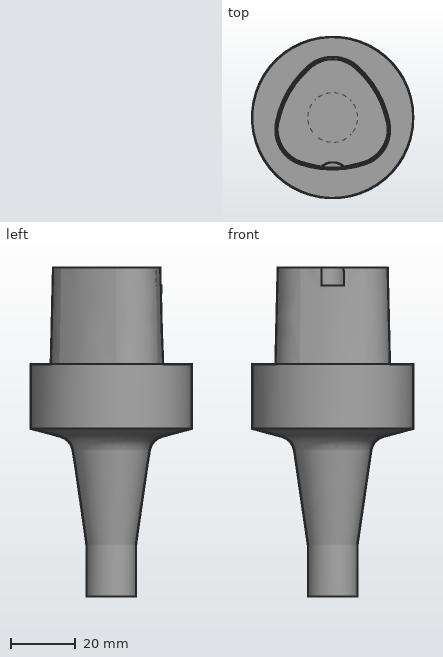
import cadquery as cq
import math

total_height = 102.0
shank_height = 30.0
flange_thickness = 20.0
tip_height = 16.1
flange_top = total_height - shank_height
flange_bottom = flange_top - flange_thickness

flange_radius = 50.0 / 2
tip_radius = 15.4 / 2
neck_radius = 12.4
flange_cone_angle = 15.0
neck_fillet = 5.0

lobe_reach = 18.8
flat_reach = 16.1
flat_radius = 31.4
shank_inset = 0.7
lobe_count = 3
lobe_step = 360.0 / lobe_count
first_lobe_angle = 90.0

notch_radius = 5.0
notch_depth = 5.6
notch_inner_y = -13.9


def polar(radius, angle):
    return cq.Vector(
        radius * math.cos(math.radians(angle)),
        radius * math.sin(math.radians(angle)),
    )


def make_body():
    """Flange, conical underside, tapered neck and straight tip."""
    cone_drop = (flange_radius - neck_radius) * math.tan(math.radians(flange_cone_angle))
    neck_top = flange_bottom - cone_drop
    profile = [
        (0, 0),
        (tip_radius, 0),
        (tip_radius, tip_height),
        (neck_radius, neck_top),
        (flange_radius, flange_bottom),
        (flange_radius, flange_top),
        (0, flange_top),
    ]
    body = cq.Workplane("XZ").polyline(profile).close().revolve(360, (0, 0, 0), (0, 1, 0))
    margin = 0.1
    neck_corner = cq.selectors.BoxSelector(
        (-flange_radius, -flange_radius, neck_top - margin),
        (flange_radius, flange_radius, neck_top + margin),
        boundingbox=False,
    )
    return body.edges(neck_corner).fillet(neck_fillet)


def lobed_wire(inset, z):
    """Closed outline of six tangent arcs: a lobe and a flat side in turn."""
    flat_center = flat_radius - flat_reach
    reach_gap = lobe_reach - flat_reach
    lobe_center = reach_gap * (2 * flat_center - reach_gap) / (flat_center - 2 * reach_gap)
    lobe_radius = lobe_reach - lobe_center

    def tangent_point(lobe_angle, flat_angle):
        center = polar(lobe_center, lobe_angle)
        normal = (center - polar(-flat_center, flat_angle)).normalized()
        return center + normal * (lobe_radius - inset)

    edges = []
    lift = cq.Vector(0, 0, z)
    for index in range(lobe_count):
        lobe = first_lobe_angle + index * lobe_step
        flat = lobe + lobe_step / 2
        start = tangent_point(lobe, lobe - lobe_step / 2) + lift
        middle = tangent_point(lobe, flat) + lift
        end = tangent_point(lobe + lobe_step, flat) + lift
        crest = polar(lobe_reach - inset, lobe) + lift
        flat_middle = polar(flat_reach - inset, flat) + lift
        edges.append(cq.Edge.makeThreePointArc(start, crest, middle))
        edges.append(cq.Edge.makeThreePointArc(middle, flat_middle, end))
    return cq.Wire.assembleEdges(edges)


def make_shank():
    base = lobed_wire(0, flange_top)
    top = lobed_wire(shank_inset, total_height)
    return cq.Workplane(cq.Solid.makeLoft([base, top], True))


def make_notch():
    return (
        cq.Workplane("XY", origin=(0, notch_inner_y - notch_radius, total_height))
        .circle(notch_radius)
        .extrude(-notch_depth)
    )


result = make_body().union(make_shank()).cut(make_notch())